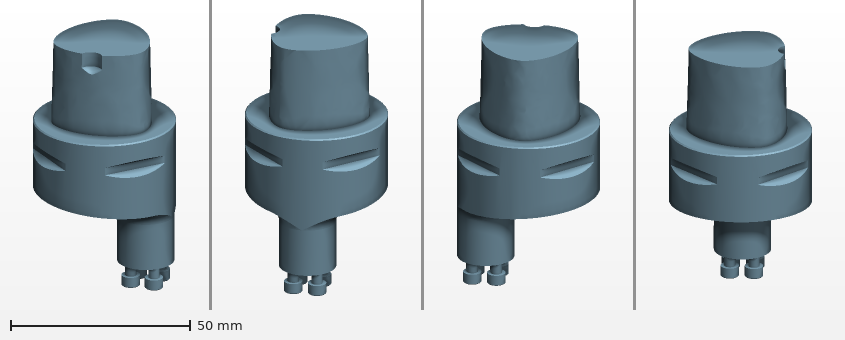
import cadquery as cq
import math

TOTAL_HEIGHT = 71.8
BODY_DIAMETER = 40.0
BODY_RADIUS = BODY_DIAMETER / 2
BODY_TOP = 47.9
RIM_CHAMFER = 0.35
SEAM_ANGLE = 90

NECK_RADIUS = 16.0 / 2
NECK_X = BODY_RADIUS - NECK_RADIUS
NECK_BOTTOM = 6.75
SHOULDER_OUTER_RADIUS = BODY_RADIUS + NECK_X
SHOULDER_OUTER_Z = 27.8
SHOULDER_ANGLE = math.radians(9.5)
SHOULDER_FILLET = 4.0

PIN_DIAMETER = 3.15
PIN_HEAD_DIAMETER = 5.2
PIN_HEAD_HEIGHT = 3.1
PIN_HEAD_CHAMFER = 0.2
PIN_SPACING = 6.75

SHANK_BASE_RADIUS = 14.1
SHANK_SLOPE = 1 / 40
LOBE_HEIGHT = 1.0
LOBE_COUNT = 3
CURVE_POINTS = 72

NOTCH_RADIUS = 3.3
NOTCH_Y = -13.8
NOTCH_DEPTH = 4.25
NOTCH_TIP_HEIGHT = 2.4

GROOVE_Z = 39.9
GROOVE_FLOOR_RADIUS = 17.6
GROOVE_FLOOR_WIDTH = 2.15
GROOVE_FLANK_ANGLE = math.radians(30)
GROOVE_OVERSHOOT = 1.45


def cylinder(radius, z_bottom, z_top, x=0, y=0):
    return cq.Workplane("XY", origin=(x, y, z_bottom)).circle(radius).extrude(z_top - z_bottom)


def body_and_neck():
    """Disc and neck, joined by a filleted cone turned about the neck axis."""
    shoulder_drop = (SHOULDER_OUTER_RADIUS - NECK_RADIUS) * math.tan(SHOULDER_ANGLE)
    corner = (NECK_RADIUS, SHOULDER_OUTER_Z - shoulder_drop)
    turn = math.pi / 2 - SHOULDER_ANGLE
    tangent = SHOULDER_FILLET * math.tan(turn / 2)
    fillet_low = (NECK_RADIUS, corner[1] - tangent)
    fillet_high = (
        NECK_RADIUS + tangent * math.cos(SHOULDER_ANGLE),
        corner[1] + tangent * math.sin(SHOULDER_ANGLE),
    )
    center = (NECK_RADIUS + SHOULDER_FILLET, fillet_low[1])
    mid_angle = math.pi - turn / 2
    fillet_mid = (
        center[0] + SHOULDER_FILLET * math.cos(mid_angle),
        center[1] + SHOULDER_FILLET * math.sin(mid_angle),
    )
    turned = (
        cq.Workplane("XZ")
        .moveTo(0, fillet_low[1])
        .lineTo(*fillet_low)
        .threePointArc(fillet_mid, fillet_high)
        .lineTo(SHOULDER_OUTER_RADIUS, SHOULDER_OUTER_Z)
        .lineTo(SHOULDER_OUTER_RADIUS, BODY_TOP)
        .lineTo(0, BODY_TOP)
        .close()
        .revolve(360, (0, 0, 0), (0, 1, 0))
        .rotate((0, 0, 0), (0, 0, 1), SEAM_ANGLE)
        .translate((NECK_X, 0, 0))
    )
    disc = cylinder(BODY_RADIUS, fillet_low[1], BODY_TOP).faces(">Z").chamfer(RIM_CHAMFER)
    disc = disc.rotate((0, 0, 0), (0, 0, 1), SEAM_ANGLE)
    neck = cylinder(NECK_RADIUS, NECK_BOTTOM, fillet_low[1], NECK_X)
    return disc.intersect(turned).union(neck)


def lobed_outline(mean_radius):
    """Closed curve of constant width with one lobe pointing to +Y."""
    points = []
    for i in range(CURVE_POINTS):
        angle = 2 * math.pi * i / CURVE_POINTS
        phase = LOBE_COUNT * (angle - math.pi / 2)
        reach = mean_radius + LOBE_HEIGHT * math.cos(phase)
        shift = -LOBE_COUNT * LOBE_HEIGHT * math.sin(phase)
        x = reach * math.cos(angle) - shift * math.sin(angle)
        y = reach * math.sin(angle) + shift * math.cos(angle)
        points.append((x, y))
    return points


def shank():
    height = TOTAL_HEIGHT - BODY_TOP
    top_radius = SHANK_BASE_RADIUS - height * SHANK_SLOPE
    return (
        cq.Workplane("XY", origin=(0, 0, BODY_TOP))
        .spline(lobed_outline(SHANK_BASE_RADIUS), periodic=True)
        .close()
        .workplane(offset=height)
        .spline(lobed_outline(top_radius), periodic=True)
        .close()
        .loft(ruled=True)
    )


def notch():
    """Round drill cut with a conical tip."""
    floor = TOTAL_HEIGHT - NOTCH_DEPTH
    return (
        cq.Workplane("XZ")
        .moveTo(0, floor - NOTCH_TIP_HEIGHT)
        .lineTo(NOTCH_RADIUS, floor)
        .lineTo(NOTCH_RADIUS, TOTAL_HEIGHT)
        .lineTo(0, TOTAL_HEIGHT)
        .close()
        .revolve(360, (0, 0, 0), (0, 1, 0))
        .translate((0, NOTCH_Y, 0))
    )


def groove(angle):
    """Straight trapezoidal groove, cut across the body at the given angle about Z."""
    outer = BODY_RADIUS + GROOVE_OVERSHOOT
    half_floor = GROOVE_FLOOR_WIDTH / 2
    half_mouth = half_floor + (outer - GROOVE_FLOOR_RADIUS) * math.tan(GROOVE_FLANK_ANGLE)
    return (
        cq.Workplane("XZ")
        .moveTo(GROOVE_FLOOR_RADIUS, GROOVE_Z - half_floor)
        .lineTo(outer, GROOVE_Z - half_mouth)
        .lineTo(outer, GROOVE_Z + half_mouth)
        .lineTo(GROOVE_FLOOR_RADIUS, GROOVE_Z + half_floor)
        .close()
        .extrude(BODY_RADIUS, both=True)
        .rotate((0, 0, 0), (0, 0, 1), angle)
    )


def pin(x, y):
    head = cylinder(PIN_HEAD_DIAMETER / 2, 0, PIN_HEAD_HEIGHT, x, y)
    head = head.faces("<Z").chamfer(PIN_HEAD_CHAMFER)
    stem = cylinder(PIN_DIAMETER / 2, PIN_HEAD_HEIGHT, NECK_BOTTOM, x, y)
    return head.union(stem)


result = body_and_neck().union(shank()).cut(notch())
for groove_angle in (45, 135, 225, 315):
    result = result.cut(groove(groove_angle))
for x_side in (-1, 1):
    for y_side in (-1, 1):
        pin_x = NECK_X + x_side * PIN_SPACING / 2
        pin_y = y_side * PIN_SPACING / 2
        result = result.union(pin(pin_x, pin_y))